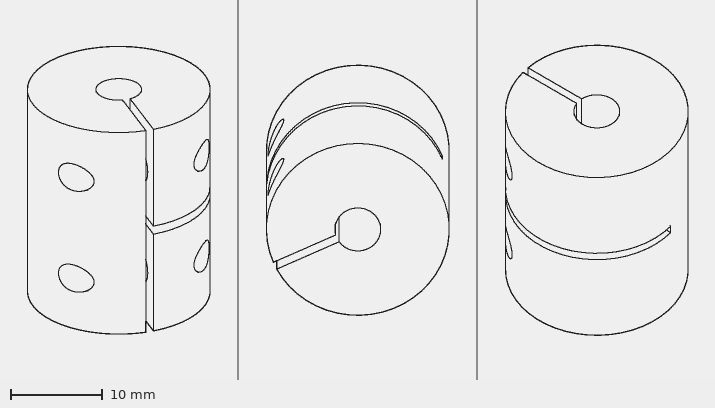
import cadquery as cq

height = 25
outer_diameter = 20
bore_diameter = 5
radius = outer_diameter / 2

slit_width = 0.88
cross_slot_width = 1
cross_slot_floor_y = -slit_width / 2

screw_hole_diameter = 3.3
screw_x = 6.5
screw_z = height / 4


def make_body():
    return (
        cq.Workplane("XY")
        .circle(radius)
        .circle(bore_diameter / 2)
        .extrude(height / 2, both=True)
    )


def make_slit():
    """Full-height slit from the bore out through the +X side."""
    return cq.Workplane("XY").box(radius, slit_width, height, centered=(False, True, True))


def make_cross_slot():
    """Mid-height slot from the +Y side that frees the two clamping jaws."""
    depth = radius - cross_slot_floor_y
    return (
        cq.Workplane("XY")
        .box(outer_diameter, depth, cross_slot_width, centered=(True, False, True))
        .translate((0, cross_slot_floor_y, 0))
    )


def make_screw_holes():
    return (
        cq.Workplane("XZ")
        .pushPoints([(screw_x, -screw_z), (screw_x, screw_z)])
        .circle(screw_hole_diameter / 2)
        .extrude(radius, both=True)
    )


result = make_body().cut(make_slit()).cut(make_cross_slot()).cut(make_screw_holes())